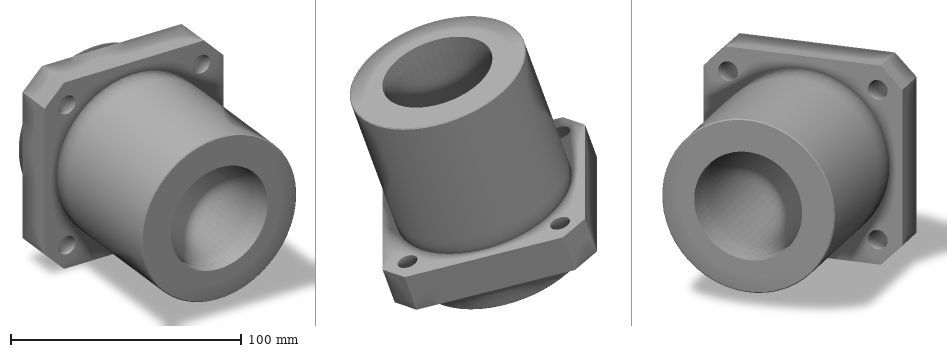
import cadquery as cq
import math

length = 100.0
sleeve_diameter = 80.0
bore_diameter = 50.0
rim_chamfer = 0.5

flange_side = 92.0
flange_thickness = 18.0
flange_start = 13.0
corner_chamfer = 10.0

hole_diameter = 9.0
bolt_circle_diameter = 98.0
hole_spacing = bolt_circle_diameter / math.sqrt(2)


def make_sleeve():
    """Solid cylinder with both outer rims broken by a small chamfer."""
    cylinder = cq.Workplane("YZ").circle(sleeve_diameter / 2).extrude(length)
    return cylinder.edges().chamfer(rim_chamfer)


def make_flange():
    """Square plate with cut corners and four through holes."""
    plate = (
        cq.Workplane("YZ", origin=(flange_start, 0, 0))
        .rect(flange_side, flange_side)
        .extrude(flange_thickness)
        .edges("|X")
        .chamfer(corner_chamfer)
    )
    holes = (
        cq.Workplane("YZ", origin=(flange_start, 0, 0))
        .rect(hole_spacing, hole_spacing, forConstruction=True)
        .vertices()
        .circle(hole_diameter / 2)
        .extrude(flange_thickness)
    )
    return plate.cut(holes)


bore = cq.Workplane("YZ").circle(bore_diameter / 2).extrude(length)
result = make_sleeve().union(make_flange()).cut(bore)